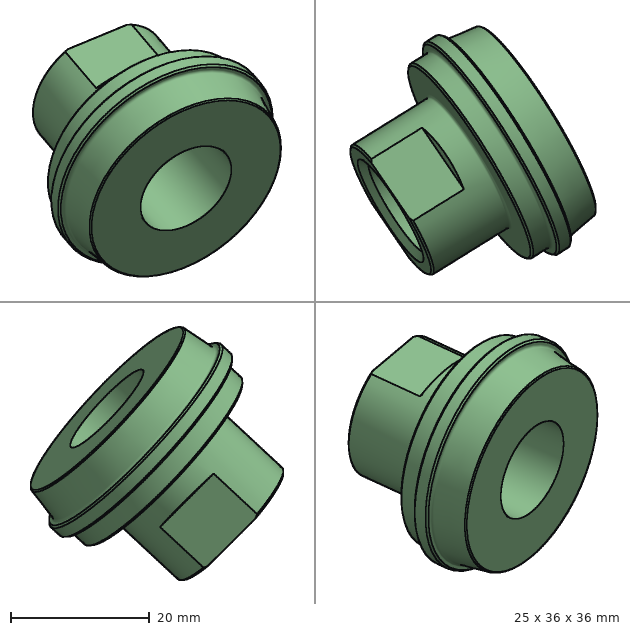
import cadquery as cq
import math

length = 25.0
shoulder_start = 13.5
collar_start = 17.0
collar_end = 19.5

bore_radius = 15.2 / 2
spigot_radius = 22.0 / 2
shoulder_radius = 33.0 / 2
collar_radius = 36.0 / 2

nose_end_radius = 16.02
nose_taper_angle = 9.0
nose_length = length - collar_end
nose_root_radius = nose_end_radius + nose_length * math.tan(math.radians(nose_taper_angle))

distance_across_flats = 19.0
flat_length = 9.0
flat_runout_angle = 15.0
cut_clearance = 1.0

edge_chamfer = 0.3
nose_chamfer = 0.2
root_fillet = 0.4
countersink_radius = 8.7
countersink_depth = countersink_radius - bore_radius


class RingSelector(cq.Selector):
    """Select the circular edge around the X axis with a given station and radius."""

    tolerance = 1e-4

    def __init__(self, x, radius):
        self.x = x
        self.radius = radius

    def matches(self, edge):
        if edge.geomType() != "CIRCLE":
            return False
        same_station = abs(edge.Center().x - self.x) < self.tolerance
        same_radius = abs(edge.radius() - self.radius) < self.tolerance
        return same_station and same_radius

    def filter(self, objects):
        return [edge for edge in objects if self.matches(edge)]


def revolve_outline(points):
    """Close a list of (x, radius) points and revolve it around the X axis."""
    return cq.Workplane("XY").polyline(points).close().revolve(360, (0, 0, 0), (1, 0, 0))


def make_body():
    """Solid stepped body: spigot, shoulder, collar and tapered nose."""
    return revolve_outline(
        [
            (0, 0),
            (0, spigot_radius),
            (shoulder_start, spigot_radius),
            (shoulder_start, shoulder_radius),
            (collar_start, shoulder_radius),
            (collar_start, collar_radius),
            (collar_end, collar_radius),
            (collar_end, nose_root_radius),
            (length, nose_end_radius),
            (length, 0),
        ]
    )


def dress_edges(body):
    """Chamfer the outer edges and fillet the inside corners of the steps."""
    chamfered_rings = [
        (0, spigot_radius, edge_chamfer),
        (shoulder_start, shoulder_radius, edge_chamfer),
        (collar_start, collar_radius, edge_chamfer),
        (collar_end, collar_radius, edge_chamfer),
        (length, nose_end_radius, nose_chamfer),
    ]
    for x, radius, size in chamfered_rings:
        body = body.edges(RingSelector(x, radius)).chamfer(size)

    filleted_rings = [
        (shoulder_start, spigot_radius),
        (collar_start, shoulder_radius),
        (collar_end, nose_root_radius),
    ]
    for x, radius in filleted_rings:
        body = body.edges(RingSelector(x, radius)).fillet(root_fillet)
    return body


def make_bore():
    """Through bore with a conical countersink at the spigot end."""
    return revolve_outline(
        [
            (0, 0),
            (0, countersink_radius),
            (countersink_depth, bore_radius),
            (length, bore_radius),
            (length, 0),
        ]
    )


def make_flat_cut(side):
    """Material above (side = 1) or below (side = -1) a wrench flat, with a sloped end."""
    flat_height = distance_across_flats / 2
    cut_top = spigot_radius + cut_clearance
    runout = (cut_top - flat_height) * math.tan(math.radians(flat_runout_angle))
    outline = [
        (0, side * flat_height),
        (flat_length, side * flat_height),
        (flat_length + runout, side * cut_top),
        (0, side * cut_top),
    ]
    return cq.Workplane("XZ").polyline(outline).close().extrude(spigot_radius, both=True)


result = dress_edges(make_body()).cut(make_bore())
for flat_side in (1, -1):
    result = result.cut(make_flat_cut(flat_side))